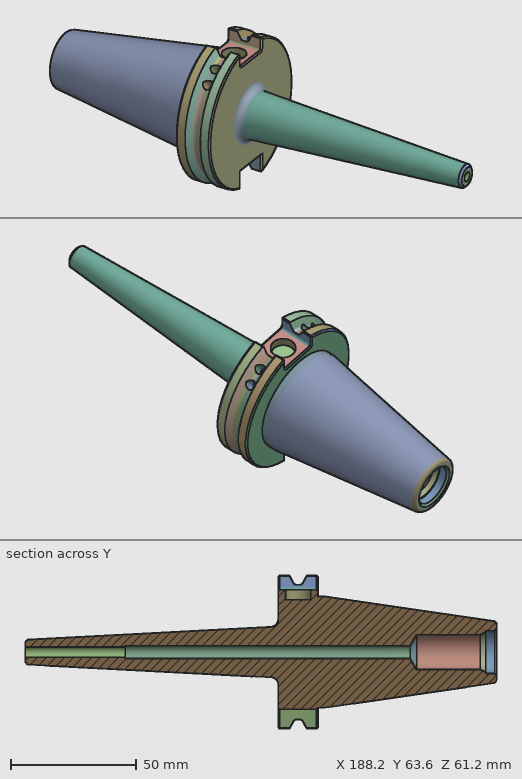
import cadquery as cq
import math


gauge_dia = 44.45
taper_rate = 7 / 24
taper_length = 68.25
taper_end_round = 1.6

flange_dia = 63.55
flange_start = 3.1
flange_end = 19.05
face_chamfer = 0.65
mouth_chamfer = 0.5

groove_x = 11.05
groove_floor_dia = 56.25
groove_mouth = 7.1
groove_half_angle = 30
groove_corner_round = 1.2

slot_width = 16.1
upper_slot_floor = 25.0
lower_slot_floor = 22.8
slot_corner_round = 1.1

slot_hole_dia = 10.0
slot_hole_depth = 4.0

balance_hole_dia = 4.0
balance_hole_depth = 6.0
balance_hole_angles = (30, 45)

nose_tip_x = 120.0
nose_tip_dia = 10.0
nose_half_angle = 3.0
nose_root_round = 3.0
nose_tip_chamfer = 1.0

pilot_dia = 17.0
pilot_depth = 4.4
pilot_chamfer = 0.9
cone_dia = 16.0
cone_length = 2.2
thread_dia = 13.8
thread_depth = 32.0
drill_tip_half_angle = 59
coolant_dia = 5.0

tool_dia = 4.0
tool_depth = 40.0

taper_end_x = -taper_length
flange_radius = flange_dia / 2
flange_length = flange_end - flange_start
groove_floor_radius = groove_floor_dia / 2
nose_tip_radius = nose_tip_dia / 2
nose_root_radius = nose_tip_radius + (nose_tip_x - flange_end) * math.tan(math.radians(nose_half_angle))


def revolve_profile(points):
    """Turn a closed (x, radius) outline about the X axis."""
    profile = cq.Workplane("XZ").polyline(points).close()
    return profile.revolve(360, (0, 0, 0), (1, 0, 0))


def make_shank():
    gauge_radius = gauge_dia / 2
    end_radius = gauge_radius - taper_length * taper_rate / 2
    shank = revolve_profile([
        (taper_end_x, 0),
        (taper_end_x, end_radius),
        (0, gauge_radius),
        (flange_start, gauge_radius),
        (flange_start, 0),
    ])
    return shank.faces("<X").edges().fillet(taper_end_round)


def make_groove():
    groove_depth = flange_radius - groove_floor_radius
    half_mouth = groove_mouth / 2
    half_floor = half_mouth - groove_depth * math.tan(math.radians(groove_half_angle))
    groove = revolve_profile([
        (groove_x - half_floor, groove_floor_radius),
        (groove_x + half_floor, groove_floor_radius),
        (groove_x + half_mouth, flange_radius),
        (groove_x - half_mouth, flange_radius),
    ])
    floor_edges = groove.edges(cq.selectors.RadiusNthSelector(0))
    return floor_edges.fillet(groove_corner_round)


def make_slot(floor_height):
    """A slot cutter on the +Z side, reaching from its floor out past the rim."""
    slot = cq.Workplane("XY").box(flange_length, slot_width, flange_radius, centered=(False, True, False))
    return slot.translate((flange_start, 0, floor_height))


def on_rim(edge):
    center = edge.Center()
    return math.isclose(math.hypot(center.y, center.z), flange_radius, abs_tol=0.01)


def make_flange():
    disc = (
        cq.Workplane("YZ", origin=(flange_start, 0, 0))
        .transformed(rotate=(0, 0, 90))
        .circle(flange_radius)
        .extrude(flange_length)
    )
    upper_slot = make_slot(upper_slot_floor).edges("|X and <Z").fillet(slot_corner_round)
    lower_slot = make_slot(lower_slot_floor).rotate((0, 0, 0), (1, 0, 0), 180)
    flange = disc.cut(make_groove()).cut(upper_slot).cut(lower_slot)
    flange = flange.faces("<X or >X").edges().chamfer(face_chamfer)
    return flange.edges("|X").filter(on_rim).chamfer(mouth_chamfer)


def make_nose():
    nose = revolve_profile([
        (flange_end, 0),
        (flange_end, nose_root_radius),
        (nose_tip_x, nose_tip_radius),
        (nose_tip_x, 0),
    ])
    return nose.faces(">X").edges().chamfer(nose_tip_chamfer)


def is_nose_root(edge):
    box = edge.BoundingBox()
    at_flange_face = math.isclose(edge.Center().x, flange_end, abs_tol=0.01)
    return at_flange_face and math.isclose(box.zmax, nose_root_radius, abs_tol=0.01)


def make_bore():
    pilot_radius = pilot_dia / 2
    thread_radius = thread_dia / 2
    coolant_radius = coolant_dia / 2
    tool_radius = tool_dia / 2
    pilot_end = taper_end_x + pilot_depth
    cone_end = pilot_end + cone_length
    thread_end = taper_end_x + thread_depth
    drill_tip = (thread_radius - coolant_radius) / math.tan(math.radians(drill_tip_half_angle))
    tool_bore_end = nose_tip_x - tool_depth
    return revolve_profile([
        (taper_end_x, 0),
        (taper_end_x, pilot_radius + pilot_chamfer),
        (taper_end_x + pilot_chamfer, pilot_radius),
        (pilot_end, pilot_radius),
        (pilot_end, cone_dia / 2),
        (cone_end, thread_radius),
        (thread_end, thread_radius),
        (thread_end + drill_tip, coolant_radius),
        (tool_bore_end, coolant_radius),
        (tool_bore_end, tool_radius),
        (nose_tip_x, tool_radius),
        (nose_tip_x, 0),
    ])


def make_radial_hole(diameter, floor_radius, angle):
    """A cutter from floor_radius out past the rim, turned about X from +Z by angle."""
    hole = (
        cq.Workplane("XY", origin=(groove_x, 0, floor_radius))
        .circle(diameter / 2)
        .extrude(flange_radius - floor_radius)
    )
    return hole.rotate((0, 0, 0), (1, 0, 0), angle)


body = make_flange().union(make_shank()).union(make_nose())
body = body.edges().filter(is_nose_root).fillet(nose_root_round)

body = body.cut(make_radial_hole(slot_hole_dia, upper_slot_floor - slot_hole_depth, 0))
for hole_angle in balance_hole_angles:
    for side in (1, -1):
        hole_floor = groove_floor_radius - balance_hole_depth
        body = body.cut(make_radial_hole(balance_hole_dia, hole_floor, side * hole_angle))

result = body.cut(make_bore())